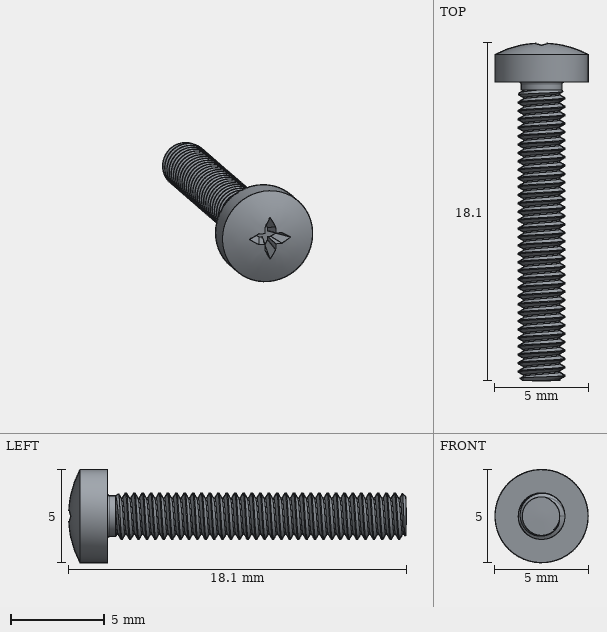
import cadquery as cq
import math


major_radius = 1.25
pitch = 0.45
sharp_height = pitch * math.sqrt(3) / 2
minor_radius = major_radius - 17 / 24 * sharp_height
crest_width = pitch / 8
flank_slope = math.tan(math.radians(60 / 2))
crest_phase = 0.416
cutter_radius = 2 * major_radius
cutter_reach = 3 * pitch

shank_length = 16.0
neck_radius = 1.1
neck_length = 0.43
neck_fillet = 0.1
runout_length = 0.25
tip_cone_height = 0.03
tip_radius = 1.03

head_radius = 2.5
head_height = 2.1
rim_height = 1.48
dome_height = head_height - rim_height
dome_radius = (head_radius**2 + dome_height**2) / (2 * dome_height)

recess_depth = 1.2
wing_tip_reach = 1.2
wing_width = 0.6
wing_shoulder_reach = 0.65
floor_scale = 0.5


def make_head():
    dome_mid_radius = head_radius / 2
    dome_mid_height = head_height - dome_radius + math.sqrt(dome_radius**2 - dome_mid_radius**2)
    return (
        cq.Workplane("XY")
        .lineTo(head_radius, 0)
        .lineTo(head_radius, rim_height)
        .threePointArc((dome_mid_radius, dome_mid_height), (0, head_height))
        .close()
        .revolve(360, (0, 0), (0, 1))
    )


def wing_outline(scale):
    """Long hexagon in X (across) and local Y (along), as a list of corners."""
    half_width = scale * wing_width / 2
    shoulder = scale * wing_shoulder_reach
    tip = scale * wing_tip_reach
    return [
        (half_width, -shoulder),
        (half_width, shoulder),
        (0, tip),
        (-half_width, shoulder),
        (-half_width, -shoulder),
        (0, -tip),
    ]


def make_recess():
    """Two crossed wings that taper from the top of the dome to the recess floor."""
    wing = (
        cq.Workplane("XZ", origin=(0, head_height, 0))
        .polyline(wing_outline(1))
        .close()
        .workplane(offset=recess_depth)
        .polyline(wing_outline(floor_scale))
        .close()
        .loft(ruled=True)
    )
    return wing.union(wing.rotate((0, 0, 0), (0, 1, 0), 90))


def make_neck():
    flare_radius = neck_radius + neck_fillet
    arc_offset = neck_fillet * (1 - math.sqrt(0.5))
    return (
        cq.Workplane("XY")
        .lineTo(flare_radius, 0)
        .threePointArc((neck_radius + arc_offset, -arc_offset), (neck_radius, -neck_fillet))
        .lineTo(neck_radius, -neck_length)
        .lineTo(0, -neck_length)
        .close()
        .revolve(360, (0, 0), (0, 1))
    )


def helix_turn(radius, height):
    """One turn of helix about Z, starting on the +X side at the given height."""
    return cq.Wire.makeHelix(pitch, pitch, radius).translate(cq.Vector(0, 0, height)).Edges()[0]


def thread_profile():
    """Radius and height of the corners of one pitch of thread, from crest to next crest."""
    crest_half = crest_width / 2
    root_half = crest_half + (major_radius - minor_radius) * flank_slope
    return [
        (major_radius, -crest_half),
        (major_radius, crest_half),
        (minor_radius, root_half),
        (minor_radius, pitch - root_half),
        (major_radius, pitch - crest_half),
    ]


def thread_end_faces(profile, height):
    """Helicoid step and flat radial face that close the end of the threaded rod."""
    first_radius, first_height = profile[0]
    start = height + first_height
    axis = cq.Edge.makeLine(cq.Vector(0, 0, start), cq.Vector(0, 0, start + pitch))
    helicoid = cq.Face.makeRuledSurface(axis, helix_turn(first_radius, start))
    corners = [cq.Vector(radius, 0, height + z) for radius, z in profile]
    corners = [cq.Vector(0, 0, start)] + corners + [cq.Vector(0, 0, start + pitch)]
    radial = cq.Face.makeFromWires(cq.Wire.makePolygon(corners, close=True))
    return [helicoid, radial]


def make_threaded_rod():
    """Full thread, longer than the shank at both ends, with a crest on +X at y = -crest_phase."""
    turns = math.ceil(shank_length / pitch) + 2
    profile = thread_profile()
    faces = thread_end_faces(profile, 0) + thread_end_faces(profile, turns * pitch)
    for turn in range(turns):
        base = turn * pitch
        for (radius_a, z_a), (radius_b, z_b) in zip(profile, profile[1:]):
            lower = helix_turn(radius_a, base + z_a)
            upper = helix_turn(radius_b, base + z_b)
            faces.append(cq.Face.makeRuledSurface(lower, upper))
    rod = cq.Workplane(cq.Solid.makeSolid(cq.Shell.makeShell(faces)).fix())
    first_crest = -crest_phase - (turns - 1) * pitch
    return rod.rotate((0, 0, 0), (1, 0, 0), -90).translate((0, first_crest, 0))


def revolve_about_axis(points):
    return cq.Workplane("XY").polyline(points).close().revolve(360, (0, 0), (0, 1))


def runout_cutter():
    """Everything above a cone that narrows the thread to the neck."""
    cone_drop = (cutter_radius - neck_radius) * runout_length / (major_radius - neck_radius)
    return revolve_about_axis(
        [
            (0, -neck_length),
            (neck_radius, -neck_length),
            (cutter_radius, -neck_length - cone_drop),
            (cutter_radius, cutter_reach),
            (0, cutter_reach),
        ]
    )


def tip_cutter():
    """Everything below the chamfered, slightly pointed tip."""
    cone_base = tip_cone_height - shank_length
    return revolve_about_axis(
        [
            (0, -shank_length),
            (tip_radius, cone_base),
            (cutter_radius, cone_base + cutter_radius - tip_radius),
            (cutter_radius, -shank_length - cutter_reach),
            (0, -shank_length - cutter_reach),
        ]
    )


head = make_head().cut(make_recess())
thread = make_threaded_rod().cut(runout_cutter()).cut(tip_cutter())
result = head.union(make_neck()).union(thread).solids()